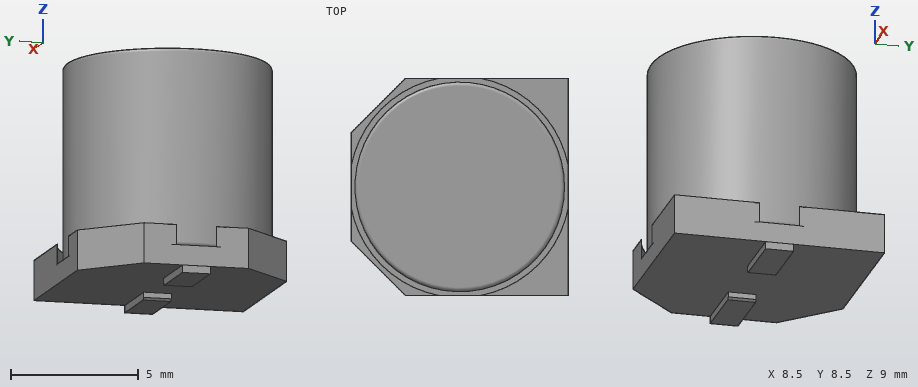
import cadquery as cq

base_side = 8.5
base_height = 1.6
corner_cut = base_side / 4
terminal_thickness = 0.3
base_top = terminal_thickness + base_height

recess_diameter = 8.65
recess_depth = 0.8
recess_floor = base_top - recess_depth

total_height = 9.0
can_diameter = 8.2
can_edge_radius = 0.15

terminal_length = 2.79
terminal_width = 1.125
terminal_chamfer = 0.09


def make_base():
    """Base plate with its cut corners and the recess for the can."""
    plate = (
        cq.Workplane("XY", origin=(0, 0, terminal_thickness))
        .rect(base_side, base_side)
        .extrude(base_height)
        .edges("|Z and <X")
        .chamfer(corner_cut)
    )
    recess = (
        cq.Workplane("XY", origin=(0, 0, recess_floor))
        .circle(recess_diameter / 2)
        .extrude(recess_depth)
    )
    return plate.cut(recess)


def make_can():
    """Cylinder with rounded top and bottom edges."""
    return (
        cq.Workplane("XY", origin=(0, 0, recess_floor))
        .circle(can_diameter / 2)
        .extrude(total_height - recess_floor)
        .edges("%CIRCLE")
        .fillet(can_edge_radius)
    )


def make_terminal(side):
    """Flat strip from the base edge inward; side is -1 for -X and 1 for +X."""
    outer_x = side * base_side / 2
    inner_x = outer_x - side * terminal_length
    return (
        cq.Workplane("XZ")
        .moveTo(outer_x, 0)
        .lineTo(inner_x + side * terminal_chamfer, 0)
        .lineTo(inner_x, terminal_chamfer)
        .lineTo(inner_x, terminal_thickness)
        .lineTo(outer_x, terminal_thickness)
        .close()
        .extrude(terminal_width / 2, both=True)
    )


base = make_base()
can = make_can()
terminals = [make_terminal(side) for side in (-1, 1)]

result = cq.Compound.makeCompound(
    [base.val(), can.val(), *[terminal.val() for terminal in terminals]]
)